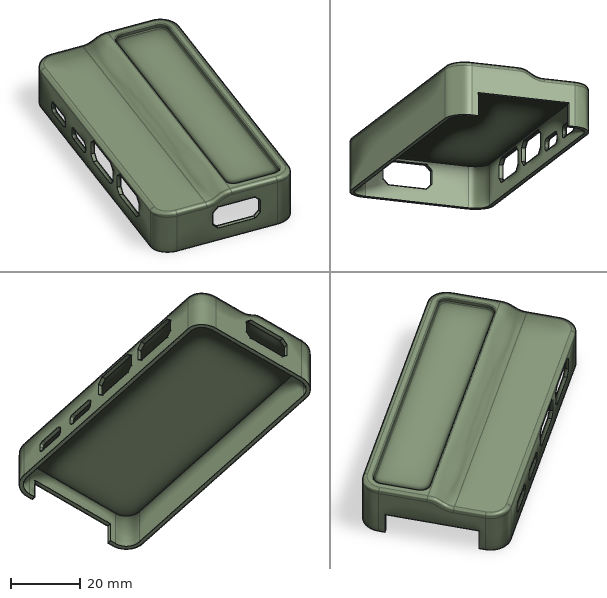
import cadquery as cq

length = 87.0
width = 44.0
height = 16.2
low_height = 13.75
left_corner_radius = 6.1
right_corner_reach = 5.3
rim_fillet = 1.3
wall = 1.2

step_foot_y = -6.4
step_crest_y = 1.5
step_pull = 3.8

panel_inset = 2.8
panel_front_y = 1.65
panel_depth = 1.6
panel_edge_fillet = 0.35

slot_length = 9.5
slot_height = 3.8
slot_radius = 1.3
slot_center_z = 5.3
slot_centers_x = (-25.3, -11.4)
port_length = 15.1
port_height = 7.5
port_chamfer = 1.65
port_center_z = 8.0
front_port_centers_x = (4.6, 22.7)
end_port_center_y = 3.0

cutout_width = 28.0
cutout_height = 7.0

cutter_depth = 7.0
front_y = -width / 2
end_x = length / 2


def roof_profile():
    """Side outline in the YZ plane; the step is one S-curve, level at both ends."""
    return (
        cq.Workplane("YZ", origin=(-end_x, 0, 0))
        .moveTo(front_y, 0)
        .lineTo(front_y, low_height)
        .lineTo(step_foot_y, low_height)
        .bezier(
            [
                (step_foot_y, low_height),
                (step_foot_y + step_pull, low_height),
                (step_crest_y - step_pull, height),
                (step_crest_y, height),
            ]
        )
        .lineTo(-front_y, height)
        .lineTo(-front_y, 0)
        .close()
    )


def rounded_prism(front, back, inset, depth):
    """Prism between two Y limits, set in from the ends, with corners following the shell's.

    The -X corners are round; the +X corners are quarter ellipses, shorter along X.
    """
    left = inset - end_x
    right = end_x - inset
    radius = left_corner_radius - inset
    reach = right_corner_reach - inset
    return (
        cq.Workplane("XY")
        .moveTo(left + radius, front)
        .lineTo(right - reach, front)
        .ellipseArc(reach, radius, 270, 360, sense=1)
        .lineTo(right, back - radius)
        .ellipseArc(reach, radius, 0, 90, sense=1)
        .lineTo(left + radius, back)
        .radiusArc((left, back - radius), -radius)
        .lineTo(left, front + radius)
        .radiusArc((left + radius, front), -radius)
        .close()
        .extrude(depth)
    )


def outer_body():
    """Solid block with the stepped roof, rounded corners and a filleted roof rim."""
    plan = rounded_prism(front_y, -front_y, 0, height)
    body = roof_profile().extrude(length).intersect(plan)
    return body.edges(">Z and >Y").fillet(rim_fillet)


def cavity():
    """Flat-ceilinged hollow, open at the bottom, with an even wall around it."""
    return rounded_prism(front_y + wall, -front_y - wall, wall, low_height - wall)


def cut_panel(body):
    """Sink the panel into the high deck, rounding its floor edge and its rim."""
    panel_back_y = -front_y - panel_inset
    panel_end_x = end_x - panel_inset
    recess = (
        rounded_prism(
            panel_front_y + panel_edge_fillet,
            panel_back_y - panel_edge_fillet,
            panel_inset + panel_edge_fillet,
            panel_depth,
        )
        .edges("<Z")
        .fillet(panel_edge_fillet)
        .translate((0, 0, height - panel_depth))
    )
    rim_edges = cq.selectors.BoxSelector(
        (-panel_end_x, panel_front_y, height - panel_edge_fillet),
        (panel_end_x, panel_back_y, height + panel_edge_fillet),
        boundingbox=True,
    )
    return body.cut(recess).edges(rim_edges).fillet(panel_edge_fillet)


def slot(center_x):
    """Rounded connector slot through the front wall."""
    return (
        cq.Workplane("XY")
        .box(slot_length, cutter_depth, slot_height)
        .edges("|Y")
        .fillet(slot_radius)
        .translate((center_x, front_y, slot_center_z))
    )


def port():
    """Chamfered connector opening, passing along Y and centered on the Y axis."""
    return (
        cq.Workplane("XY")
        .box(port_length, cutter_depth, port_height)
        .edges("|Y")
        .chamfer(port_chamfer)
        .translate((0, 0, port_center_z))
    )


def end_cutout():
    """Cable opening in the -X wall, reaching down to the bottom edge."""
    return (
        cq.Workplane("XY", origin=(-end_x, 0, 0))
        .rect(cutter_depth, cutout_width)
        .extrude(cutout_height)
    )


result = cut_panel(outer_body()).cut(cavity()).cut(end_cutout())
for center_x in slot_centers_x:
    result = result.cut(slot(center_x))
for center_x in front_port_centers_x:
    result = result.cut(port().translate((center_x, front_y, 0)))
end_port = port().rotate((0, 0, 0), (0, 0, 1), 90)
result = result.cut(end_port.translate((end_x, end_port_center_y, 0)))